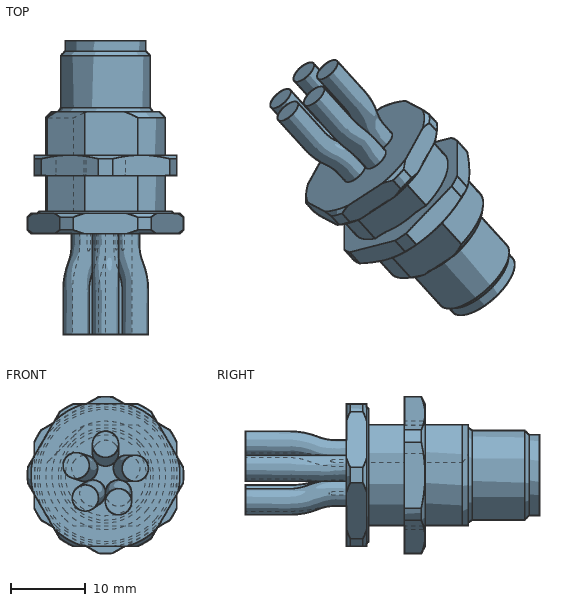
import cadquery as cq
import math


flange_thickness = 3.0
flange_washer_height = 0.3
nut_start = 7.75
nut_thickness = 2.75
body_length = 16.3
neck_length = 0.5
sleeve_end = 24.4
sleeve_chamfer = 0.6
nose_length = 1.4

nose_diameter = 10.8
sleeve_diameter = 12.0
neck_diameter = 12.7
body_diameter = 16.0
body_chamfer = 0.8

body_flat_distance = 6.75
body_flat_angles = (90, 135, 270)

hex_across_flats = 19.05
nut_corner_diameter = 21.0
nut_bore_diameter = 14.5
nut_face_diameter = 19.0
nut_chamfer_length = 0.5
flange_corner_diameter = 20.9
flange_chamfer = 0.5
flange_washer_diameter = 18.3

wire_diameter = 3.5
wire_count = 5
wire_circle_radius = 2.95
wire_offset = 1.17
wire_embed_depth = 1.0
wire_root_length = 1.5
wire_bend_length = 6.0
wire_tail_length = 6.0
wire_first_angle = 90
wire_bend_angles = (90, 162, 215, 270, 0)


def revolve_profile(points):
    """Revolve (radius, y) points around the Y axis."""
    return cq.Workplane("XY").polyline(points).close().revolve(360, (0, 0, 0), (0, 1, 0))


def hex_prism(start, length, corner_angle):
    """Hexagonal prism along +Y with one corner at corner_angle in the XZ plane."""
    across_corners = hex_across_flats / math.cos(math.radians(30))
    prism = cq.Workplane("XZ", origin=(0, start, 0)).polygon(6, across_corners).extrude(-length)
    return prism.rotate((0, 0, 0), (0, 1, 0), -corner_angle)


def make_body():
    radius = body_diameter / 2
    body = revolve_profile([
        (0, 0),
        (radius, 0),
        (radius, body_length - body_chamfer),
        (radius - body_chamfer, body_length),
        (0, body_length),
    ])
    for angle in body_flat_angles:
        cutter = cq.Workplane("XY").box(body_diameter, 2 * body_length, body_diameter)
        cutter = cutter.translate((body_flat_distance + radius, 0, 0))
        body = body.cut(cutter.rotate((0, 0, 0), (0, 1, 0), -angle))
    return body


def make_sleeve():
    nose_radius = nose_diameter / 2
    sleeve_radius = sleeve_diameter / 2
    neck_radius = neck_diameter / 2
    return revolve_profile([
        (0, 0),
        (neck_radius, 0),
        (neck_radius, body_length),
        (sleeve_radius, body_length + neck_length),
        (sleeve_radius, sleeve_end - sleeve_chamfer),
        (nose_radius, sleeve_end),
        (nose_radius, sleeve_end + nose_length),
        (0, sleeve_end + nose_length),
    ])


def make_nut():
    """Hexagon nut with corners at +Z and -Z, chamfered on its +Y side.

    The bore leaves gaps over the flats of the body.
    """
    nut_end = nut_start + nut_thickness
    corner_radius = nut_corner_diameter / 2
    bore_radius = nut_bore_diameter / 2
    envelope = revolve_profile([
        (bore_radius, nut_start),
        (corner_radius, nut_start),
        (corner_radius, nut_end - nut_chamfer_length),
        (nut_face_diameter / 2, nut_end),
        (bore_radius, nut_end),
    ])
    return hex_prism(nut_start, nut_thickness, 90).intersect(envelope)


def make_flange():
    """Hexagon flange with corners at +X and -X, chamfered on both sides, with a tapered washer face."""
    hex_end = flange_thickness - flange_washer_height
    corner_radius = flange_corner_diameter / 2
    face_radius = corner_radius - flange_chamfer
    washer_radius = flange_washer_diameter / 2
    envelope = revolve_profile([
        (0, 0),
        (face_radius, 0),
        (corner_radius, flange_chamfer),
        (corner_radius, hex_end - flange_chamfer),
        (face_radius, hex_end),
        (washer_radius, hex_end),
        (washer_radius - flange_washer_height, flange_thickness),
        (0, flange_thickness),
    ])
    return hex_prism(0, flange_thickness, 0).intersect(envelope)


def make_wire(root_angle, bend_angle):
    """Straight root, S-bend of two equal arcs, straight tail."""
    half_bend = math.atan2(wire_offset, wire_bend_length)
    bend_radius = wire_bend_length / (2 * math.sin(2 * half_bend))
    arc_drop = bend_radius * math.sin(half_bend)
    arc_shift = bend_radius * (1 - math.cos(half_bend))
    bend_start = -wire_root_length
    bend_end = bend_start - wire_bend_length
    path = (
        cq.Workplane("XY")
        .moveTo(0, wire_embed_depth)
        .lineTo(0, bend_start)
        .threePointArc(
            (arc_shift, bend_start - arc_drop),
            (wire_offset / 2, bend_start - wire_bend_length / 2),
        )
        .threePointArc(
            (wire_offset - arc_shift, bend_end + arc_drop),
            (wire_offset, bend_end),
        )
        .lineTo(wire_offset, bend_end - wire_tail_length)
    )
    section = cq.Workplane("XZ", origin=(0, wire_embed_depth, 0)).circle(wire_diameter / 2)
    wire = section.sweep(path).rotate((0, 0, 0), (0, 1, 0), -bend_angle)
    root_direction = math.radians(root_angle)
    root_x = wire_circle_radius * math.cos(root_direction)
    root_z = wire_circle_radius * math.sin(root_direction)
    return wire.translate((root_x, 0, root_z))


result = make_body().union(make_sleeve()).union(make_nut()).union(make_flange())
for index, bend_angle in enumerate(wire_bend_angles):
    root_angle = wire_first_angle + index * 360 / wire_count
    result = result.union(make_wire(root_angle, bend_angle))